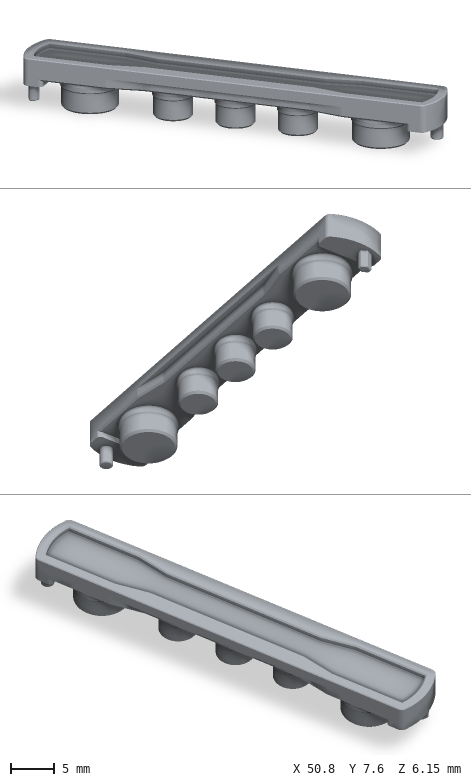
import cadquery as cq
import math

LENGTH = 50.8
WIDTH = 7.6
END_RADIUS = 7.6
CORNER_RADIUS = 0.75
PLATE_DEPTH = 2.6
TOP_EDGE_CHAMFER = 0.1
BOTTOM_EDGE_CHAMFER = 0.2

FOOT_DEPTH = 3.3
FOOT_INNER_X = 22.25
FOOT_FILLET = 0.5

RIM_WIDTH = 1
POCKET_WIDTH = 5.45
WAIST_WIDTH = 3.9
POCKET_DEPTH = 0.8
POCKET_EDGE = 0.15
WAIST_HALF_LENGTH = 10.2
WAIST_TAPER_LENGTH = 4.2
TAPER_END_X = WAIST_HALF_LENGTH + WAIST_TAPER_LENGTH

RECESS_TOP = 1.3

BOSS_BOTTOM = 6.15
BOSS_CHAMFER = 0.25
BEAD_HEIGHT = 0.125
BEAD_UPPER = 2.95
BEAD_LOWER = 3.5
BEAD_END = 3.65
SMALL_BOSS_DIAMETER = 4.55
LARGE_BOSS_DIAMETER = 6.6
SMALL_BOSS_SPACING = 7.6
LARGE_BOSS_X = 17.8

PIN_X = 24.05
PIN_Y = 1.65
PIN_DIAMETER = 1.5
PIN_BOTTOM = 5.6
PIN_CHAMFER = 0.1
DIAMOND_HALF_LENGTH = 0.65
DIAMOND_LAND_WIDTH = 0.6


def make_slab(depth):
    """Plate outline extruded down: straight long sides, arc ends, rounded corners."""
    half_length = LENGTH / 2
    half_width = WIDTH / 2
    corner_x = half_length - END_RADIUS + math.sqrt(END_RADIUS**2 - half_width**2)
    slab = (
        cq.Workplane("XY")
        .moveTo(-corner_x, -half_width)
        .lineTo(corner_x, -half_width)
        .threePointArc((half_length, 0), (corner_x, half_width))
        .lineTo(-corner_x, half_width)
        .threePointArc((-half_length, 0), (-corner_x, -half_width))
        .close()
        .extrude(-depth)
    )
    return slab.edges("|Z").fillet(CORNER_RADIUS)


def make_side_recess():
    """Trapezoidal cut in the -Y side, open towards the bottom."""
    outer_y = -WIDTH / 2
    inner_y = outer_y + (POCKET_WIDTH - WAIST_WIDTH) / 2
    return (
        cq.Workplane("XY")
        .workplane(offset=-RECESS_TOP)
        .moveTo(-TAPER_END_X, outer_y)
        .lineTo(TAPER_END_X, outer_y)
        .lineTo(WAIST_HALF_LENGTH, inner_y)
        .lineTo(-WAIST_HALF_LENGTH, inner_y)
        .close()
        .extrude(RECESS_TOP - PLATE_DEPTH)
    )


def make_plate():
    recess = make_side_recess()
    plate = make_slab(PLATE_DEPTH).cut(recess).cut(recess.mirror("XZ"))
    plate = plate.faces(">Z").edges().chamfer(TOP_EDGE_CHAMFER)
    return plate.faces("<Z").edges().chamfer(BOTTOM_EDGE_CHAMFER)


def make_feet():
    """Both end pieces, kept clear of the chamfer along the top edge."""
    gap = (
        cq.Workplane("XY")
        .rect(2 * FOOT_INNER_X, WIDTH)
        .extrude(-FOOT_DEPTH)
    )
    feet = make_slab(FOOT_DEPTH).cut(gap)
    inner_corners = cq.selectors.BoxSelector(
        (-FOOT_INNER_X - FOOT_FILLET, -WIDTH, -FOOT_DEPTH),
        (FOOT_INNER_X + FOOT_FILLET, WIDTH, 0),
    )
    feet = feet.edges("|Z").edges(inner_corners).fillet(FOOT_FILLET)
    above = cq.Workplane("XY").rect(LENGTH, WIDTH).extrude(-TOP_EDGE_CHAMFER)
    return feet.cut(above)


def pocket_outline():
    half_length = LENGTH / 2 - RIM_WIDTH
    end_radius = END_RADIUS - RIM_WIDTH
    half_width = POCKET_WIDTH / 2
    half_waist = WAIST_WIDTH / 2
    corner_x = half_length - end_radius + math.sqrt(end_radius**2 - half_width**2)
    return (
        cq.Workplane("XY")
        .moveTo(-corner_x, -half_width)
        .lineTo(-TAPER_END_X, -half_width)
        .lineTo(-WAIST_HALF_LENGTH, -half_waist)
        .lineTo(WAIST_HALF_LENGTH, -half_waist)
        .lineTo(TAPER_END_X, -half_width)
        .lineTo(corner_x, -half_width)
        .threePointArc((half_length, 0), (corner_x, half_width))
        .lineTo(TAPER_END_X, half_width)
        .lineTo(WAIST_HALF_LENGTH, half_waist)
        .lineTo(-WAIST_HALF_LENGTH, half_waist)
        .lineTo(-TAPER_END_X, half_width)
        .lineTo(-corner_x, half_width)
        .threePointArc((-half_length, 0), (-corner_x, -half_width))
        .close()
    )


def make_pocket():
    """Straight-walled pocket with a chamfered rim and a chamfered floor edge."""
    rim = pocket_outline().extrude(-POCKET_EDGE, taper=45)
    walls = pocket_outline().offset2D(-POCKET_EDGE).extrude(-POCKET_DEPTH)
    walls = walls.faces("<Z").edges().chamfer(POCKET_EDGE)
    return rim.union(walls)


def make_boss(x, diameter):
    """Revolved boss; profile runs in radius and height."""
    radius = diameter / 2
    return (
        cq.Workplane("XZ")
        .moveTo(0, -PLATE_DEPTH)
        .lineTo(radius, -PLATE_DEPTH)
        .lineTo(radius + BEAD_HEIGHT, -BEAD_UPPER)
        .lineTo(radius + BEAD_HEIGHT, -BEAD_LOWER)
        .lineTo(radius, -BEAD_END)
        .lineTo(radius, -BOSS_BOTTOM + BOSS_CHAMFER)
        .lineTo(radius - BOSS_CHAMFER, -BOSS_BOTTOM)
        .lineTo(0, -BOSS_BOTTOM)
        .close()
        .revolve(360, (0, 0), (0, 1))
        .translate((x, 0, 0))
    )


def finish_pin(outline):
    pin = outline.extrude(FOOT_DEPTH - PIN_BOTTOM)
    return pin.faces("<Z").edges().chamfer(PIN_CHAMFER)


def pin_plane(x, y):
    return cq.Workplane("XY", origin=(x, y, -FOOT_DEPTH))


def make_round_pin(x, y):
    return finish_pin(pin_plane(x, y).circle(PIN_DIAMETER / 2))


def make_diamond_pin(x, y):
    """Pin with four flats, leaving a curved land on its +Y and -Y sides."""
    radius = PIN_DIAMETER / 2
    land_x = DIAMOND_LAND_WIDTH / 2
    land_y = math.sqrt(radius**2 - land_x**2)
    outline = (
        pin_plane(x, y)
        .moveTo(-DIAMOND_HALF_LENGTH, 0)
        .lineTo(-land_x, -land_y)
        .threePointArc((0, -radius), (land_x, -land_y))
        .lineTo(DIAMOND_HALF_LENGTH, 0)
        .lineTo(land_x, land_y)
        .threePointArc((0, radius), (-land_x, land_y))
        .close()
    )
    return finish_pin(outline)


result = make_plate().union(make_feet()).cut(make_pocket())

for position in (-1, 0, 1):
    result = result.union(make_boss(position * SMALL_BOSS_SPACING, SMALL_BOSS_DIAMETER))

for side in (-1, 1):
    result = result.union(make_boss(side * LARGE_BOSS_X, LARGE_BOSS_DIAMETER))

result = result.union(make_diamond_pin(-PIN_X, -PIN_Y))
result = result.union(make_round_pin(PIN_X, PIN_Y))